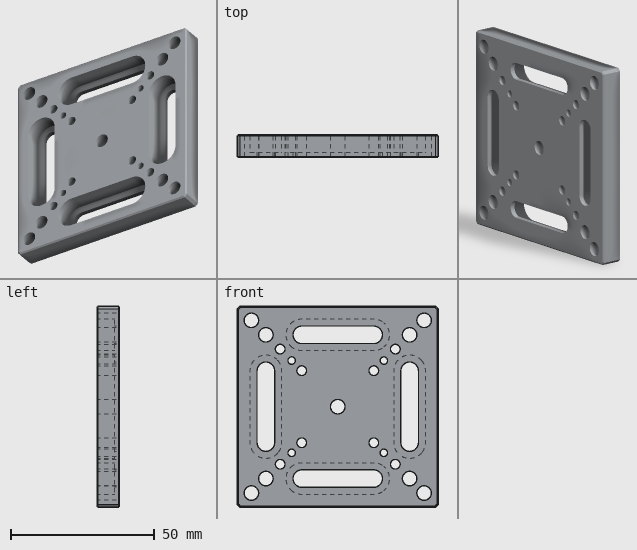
import cadquery as cq

side = 70.0
thickness = 8.0
corner_chamfer = 1.0
face_chamfer = 0.5

large_diameter = 5.0
medium_diameter = 3.3
small_diameter = 2.5

diagonal_holes = [
    (30.0, large_diameter),
    (25.0, large_diameter),
    (20.0, medium_diameter),
    (16.0, small_diameter),
    (12.5, medium_diameter),
]

slot_end_spacing = 25.0
slot_width = 6.0
wide_slot_width = 11.0
slot_offset = 25.0
slot_lip = 1.75


def make_plate():
    """Square plate with chamfered upright corners and chamfered front and back edges."""
    plate = cq.Workplane("XZ").rect(side, side).extrude(thickness / 2, both=True)
    plate = plate.edges("|Y").chamfer(corner_chamfer)
    return plate.faces("<Y or >Y").edges().chamfer(face_chamfer)


def drill(plate, centres, diameter):
    """Cut round holes through the plate at the given (X, Z) centres."""
    holes = cq.Workplane("XZ").pushPoints(centres).circle(diameter / 2).extrude(thickness, both=True)
    return plate.cut(holes)


def slot_body(centres, angle, width, y_start):
    """Round-ended slots at the given (X, Z) centres, from y_start out past the back face."""
    plane = cq.Workplane("XZ", origin=(0, y_start, 0))
    outline = plane.pushPoints(centres).slot2D(slot_end_spacing + width, width, angle)
    return outline.extrude(-2 * thickness)


def cut_slots(plate, centres, angle):
    """Cut stepped slots through the plate, turned by angle from the X direction."""
    front_y = -thickness / 2
    plate = plate.cut(slot_body(centres, angle, slot_width, front_y))
    return plate.cut(slot_body(centres, angle, wide_slot_width, front_y + slot_lip))


result = make_plate()

result = drill(result, [(0, 0)], large_diameter)
for offset, diameter in diagonal_holes:
    corners = [(x, z) for x in (-offset, offset) for z in (-offset, offset)]
    result = drill(result, corners, diameter)

result = cut_slots(result, [(0, -slot_offset), (0, slot_offset)], 0)
result = cut_slots(result, [(-slot_offset, 0), (slot_offset, 0)], 90)